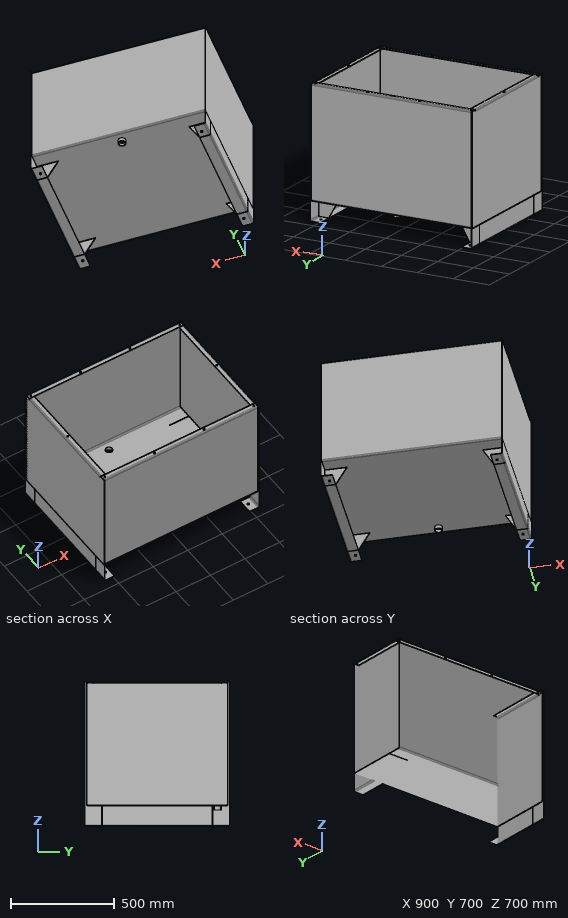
import cadquery as cq
import math

length = 900.0
depth = 700.0
height = 700.0

sheet = 4.0
top_bend_radius = 8.0
bottom_bend_radius = 8.0
rim_width = 30.0

wall_inset = 7.0
floor_height = 100.0
trough_depth = depth - 2 * wall_inset
trough_length = length - 2 * sheet

rim_end_gap = 1.0
side_rim_length = trough_depth - 2 * (rim_width + rim_end_gap)
seam_height = height / 2
foot_width = 59.0
foot_corner_radius = 7.0
foot_hole_diameter = 10.5
foot_hole_from_side = 36.0
foot_hole_from_end = 46.0

gusset_from_end = 80.0
gusset_angle = 30.0

rim_hole_diameter = 8.5
rim_hole_from_edge = 18.0
rim_holes_per_wall = 4

drain_y = 292.0
drain_bore = 30.29
drain_diameter = 38.0
drain_length = 20.0


def rounded_box(size_x, size_y, z_bottom, z_top, top_radius, bottom_radius):
    """Box centred on Z with its two long X edges rounded at the top and at the bottom."""
    box = cq.Workplane("XY").workplane(offset=z_bottom).rect(size_x, size_y).extrude(z_top - z_bottom)
    box = box.edges("|X and >Z").fillet(top_radius)
    return box.edges("|X and <Z").fillet(bottom_radius)


def make_trough():
    """Folded walls and floor, open at both X ends, with rims turned inwards at the top."""
    outer = rounded_box(trough_length, trough_depth, floor_height, height,
                        top_bend_radius, bottom_bend_radius)
    inner = rounded_box(trough_length, trough_depth - 2 * sheet, floor_height + sheet, height - sheet,
                        top_bend_radius - sheet, bottom_bend_radius - sheet)
    opening = cq.Workplane("XY").workplane(offset=height).rect(
        trough_length, trough_depth - 2 * rim_width).extrude(-2 * sheet)
    return outer.cut(inner).cut(opening)


def bent_panel(width, z_bottom, z_top, flange, radius):
    """L-shaped left panel with its flange at the top, centred on Y."""
    left = -length / 2
    profile = (
        cq.Workplane("XZ", origin=(left, width / 2, 0))
        .moveTo(0, z_bottom)
        .lineTo(0, z_top - radius)
        .radiusArc((radius, z_top), radius)
        .lineTo(flange, z_top)
        .lineTo(flange, z_top - sheet)
        .lineTo(radius, z_top - sheet)
        .radiusArc((sheet, z_top - radius), -(radius - sheet))
        .lineTo(sheet, z_bottom)
        .close()
    )
    return profile.extrude(width)


def make_foot():
    """Lower part of the left panel, with the foot turned inwards."""
    foot = bent_panel(depth, -seam_height, 0, foot_width, bottom_bend_radius).mirror("XY")
    foot = foot.edges("|Z and >X").fillet(foot_corner_radius)
    hole_y = depth / 2 - foot_hole_from_end
    holes = (
        cq.Workplane("XY")
        .pushPoints([(foot_hole_from_side - length / 2, y) for y in (-hole_y, hole_y)])
        .circle(foot_hole_diameter / 2)
        .extrude(sheet)
    )
    return foot.cut(holes)


def make_gusset(y_sign):
    """Upright plate from the side panel to the floor, standing on the foot."""
    inner_x = sheet - length / 2
    slope_start_x = foot_width - length / 2
    z_bottom = sheet
    slope_run = (floor_height - z_bottom) * math.tan(math.radians(gusset_angle))
    outer_face_y = depth / 2 - gusset_from_end
    return (
        cq.Workplane("XZ", origin=(0, y_sign * (outer_face_y - sheet / 2), 0))
        .moveTo(inner_x, z_bottom)
        .lineTo(slope_start_x, z_bottom)
        .lineTo(slope_start_x + slope_run, floor_height)
        .lineTo(inner_x, floor_height)
        .close()
        .extrude(sheet / 2, both=True)
    )


def make_side():
    """Left side panel with its foot, gussets, rim and the two full-height corner strips."""
    rim_panel = bent_panel(side_rim_length, seam_height, height, rim_width, top_bend_radius)
    side = make_foot().union(rim_panel)
    strip_width = (depth - side_rim_length) / 2
    for y_sign in (-1, 1):
        strip = cq.Workplane("XY").box(
            sheet, strip_width, height - seam_height, centered=(False, True, False))
        strip_y = y_sign * (depth - strip_width) / 2
        side = side.union(strip.translate((-length / 2, strip_y, seam_height)))
        side = side.union(make_gusset(y_sign))
    return side


def rim_holes():
    """Cutters for the evenly spaced holes in the wall rims and one in each side rim."""
    hole_x = length / 2 - rim_hole_from_edge
    hole_y = trough_depth / 2 - rim_hole_from_edge
    spacing = 2 * hole_x / (rim_holes_per_wall - 1)
    points = [(-hole_x, 0), (hole_x, 0)]
    for i in range(rim_holes_per_wall):
        x = -hole_x + i * spacing
        points += [(x, -hole_y), (x, hole_y)]
    return (
        cq.Workplane("XY").workplane(offset=height)
        .pushPoints(points).circle(rim_hole_diameter / 2).extrude(-sheet)
    )


def drain_cylinder(diameter, z_top):
    """Upright cylinder on the drain axis, from the mouth of the drain up to z_top."""
    z_bottom = floor_height - drain_length
    return (
        cq.Workplane("XY", origin=(0, drain_y, z_bottom))
        .circle(diameter / 2).extrude(z_top - z_bottom)
    )


left_side = make_side()
result = make_trough().union(left_side).union(left_side.mirror("YZ"))
result = result.cut(rim_holes())
result = result.union(drain_cylinder(drain_diameter, floor_height))
result = result.cut(drain_cylinder(drain_bore, floor_height + sheet))